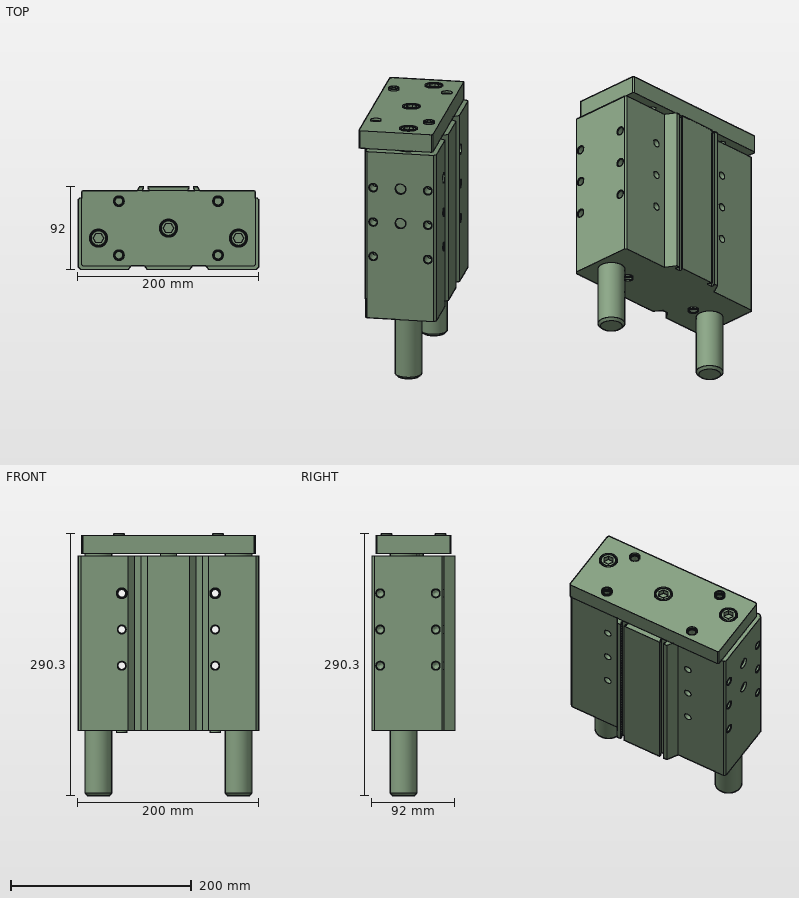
import cadquery as cq
import math


total_height = 290.3

housing_width = 200.0
housing_depth = 92.0
housing_bottom = 72.0
housing_height = 193.5
corner_chamfer = 3.0
shoulder_chamfer = 2.0
shoulder_drop = 12.5
front_groove_x = 34.0
front_groove_width = 21.2
front_groove_floor = 7.3
front_groove_depth = 9.0
rail_top_width = 64.2
rail_flank_angle = 30.0
sensor_slot_x = 25.3
sensor_slot_mouth = 4.5
sensor_slot_floor = 7.0
sensor_slot_depth = 5.8
sensor_slot_lip = 2.5

plate_width = 192.5
plate_depth = 83.3
plate_gap = 2.3
sleeve_protrusion = 2.0
plate_chamfer = 1.5
guide_x = 77.5
guide_y = -11.0
guide_diameter = 30.0
guide_tip_chamfer = 3.0
rod_diameter = 22.0
rod_flats = 18.0
rod_engagement = 58.0
screw_seat_diameter = 20.0
screw_head_diameter = 18.0
screw_head_chamfer = 1.02
screw_head_height = 12.0
screw_socket_flats = 10.2
screw_socket_depth = 5.8

thread_diameter = 8.5
thread_mouth_diameter = 10.0
side_thread_depth = 17.5
drill_point_angle = 118.0
sleeve_diameter = 12.0
sleeve_bore = 10.0
sleeve_seat_depth = 2.5
sleeve_chamfer = 0.3
plate_hole_x = 55.0
plate_hole_y = 30.0
front_hole_x = 51.7
bottom_thread_depth = 17.5
top_row_z = 224.0
row_pitch = 40.0
side_hole_back_y = 24.7
side_hole_front_y = -37.0

port_y = -6.0
port_diameter = 12.0
port_recess = 3.0
plug_thickness = 4.0

rail_foot_width = rail_top_width + 2 * shoulder_drop * math.tan(math.radians(rail_flank_angle))
housing_top = housing_bottom + housing_height
left_face = -housing_width / 2
front_face = -housing_depth / 2
back_face = housing_depth / 2
plate_bottom = housing_top + plate_gap
plate_top = total_height - sleeve_protrusion
plate_thickness = plate_top - plate_bottom
sleeve_length = sleeve_seat_depth + sleeve_protrusion
row_heights = [top_row_z - row * row_pitch for row in range(3)]
port_heights = row_heights[:2]
guide_places = [(-guide_x, guide_y), (guide_x, guide_y)]
screw_places = [*guide_places, (0, 0)]
plate_hole_places = [(sx * plate_hole_x, sy * plate_hole_y) for sx in (-1, 1) for sy in (-1, 1)]
plate_sleeve_places = [(-plate_hole_x, -plate_hole_y), (plate_hole_x, plate_hole_y)]
bottom_sleeve_places = [(-front_hole_x, guide_y), (front_hole_x, guide_y)]


def cylinder(start, direction, diameter, length):
    """A solid cylinder that runs from a start point along a direction."""
    return cq.Workplane(cq.Solid.makeCylinder(diameter / 2, length, cq.Vector(*start), cq.Vector(*direction)))


def cone(start, direction, start_diameter, end_diameter, length):
    """A solid cone that runs from a start point along a direction."""
    return cq.Workplane(
        cq.Solid.makeCone(start_diameter / 2, end_diameter / 2, length, cq.Vector(*start), cq.Vector(*direction))
    )


def mouth_chamfer(start, direction):
    """The 45-degree countersink at the mouth of a threaded hole."""
    depth = (thread_mouth_diameter - thread_diameter) / 2
    return cone(start, direction, thread_mouth_diameter, thread_diameter, depth)


def seated_hole(start, direction, depth):
    """A threaded hole whose mouth is widened into a seat for a centring sleeve."""
    seat_floor = cq.Vector(*start) + cq.Vector(*direction) * sleeve_seat_depth
    return (
        cylinder(start, direction, thread_diameter, depth)
        .union(cylinder(start, direction, sleeve_diameter, sleeve_seat_depth))
        .union(mouth_chamfer(seat_floor.toTuple(), direction))
    )


def housing_block():
    """The extruded profile: chamfered corners, and a rail with sloped flanks on the back."""
    half_width = housing_width / 2
    shoulder_y = back_face - shoulder_drop
    right_half = [
        (half_width - corner_chamfer, front_face),
        (half_width, front_face + corner_chamfer),
        (half_width, shoulder_y - shoulder_chamfer),
        (half_width - shoulder_chamfer, shoulder_y),
        (rail_foot_width / 2, shoulder_y),
        (rail_top_width / 2, back_face),
    ]
    left_half = [(-x, y) for x, y in reversed(right_half)]
    return (
        cq.Workplane("XY", origin=(0, 0, housing_bottom))
        .polyline(right_half + left_half)
        .close()
        .extrude(housing_height)
    )


def front_groove(x):
    """A groove with sloped flanks along the front face."""
    return (
        cq.Workplane("XY", origin=(x, front_face, housing_bottom))
        .polyline([
            (-front_groove_width / 2, 0),
            (front_groove_width / 2, 0),
            (front_groove_floor / 2, front_groove_depth),
            (-front_groove_floor / 2, front_groove_depth),
        ])
        .close()
        .extrude(housing_height)
    )


def sensor_slot(x):
    """A slot in the back rail that widens below its mouth."""
    half_mouth = sensor_slot_mouth / 2
    half_floor = sensor_slot_floor / 2
    return (
        cq.Workplane("XY", origin=(x, back_face, housing_bottom))
        .polyline([
            (-half_mouth, 0),
            (half_mouth, 0),
            (half_mouth, -sensor_slot_lip),
            (half_floor, -sensor_slot_lip),
            (half_floor, -sensor_slot_depth),
            (-half_floor, -sensor_slot_depth),
            (-half_floor, -sensor_slot_lip),
            (-half_mouth, -sensor_slot_lip),
        ])
        .close()
        .extrude(housing_height)
    )


def front_hole(x, z):
    """A threaded hole through the full depth; the top row has a sleeve seat at its mouth."""
    start = (x, front_face, z)
    if z == top_row_z:
        return seated_hole(start, (0, 1, 0), housing_depth)
    hole = cylinder(start, (0, 1, 0), thread_diameter, housing_depth)
    return hole.union(mouth_chamfer(start, (0, 1, 0)))


def side_hole(side, y, z):
    """A blind threaded hole with a drill point, in the left (-1) or right (+1) side."""
    start = (side * housing_width / 2, y, z)
    inward = (-side, 0, 0)
    point_start = (start[0] - side * side_thread_depth, y, z)
    point_length = thread_diameter / 2 / math.tan(math.radians(drill_point_angle / 2))
    return (
        cylinder(start, inward, thread_diameter, side_thread_depth)
        .union(cone(point_start, inward, thread_diameter, 0, point_length))
        .union(mouth_chamfer(start, inward))
    )


def make_housing():
    housing = housing_block()
    for side in (-1, 1):
        housing = housing.cut(front_groove(side * front_groove_x))
        housing = housing.cut(sensor_slot(side * sensor_slot_x))
        for z in row_heights:
            housing = housing.cut(front_hole(side * front_hole_x, z))
            for y in (side_hole_front_y, side_hole_back_y):
                housing = housing.cut(side_hole(side, y, z))
    for x, y in guide_places:
        housing = housing.cut(cylinder((x, y, housing_bottom), (0, 0, 1), guide_diameter, housing_height))
    housing = housing.cut(cylinder((0, 0, housing_top), (0, 0, -1), rod_diameter, rod_engagement))
    for x, y in bottom_sleeve_places:
        housing = housing.cut(seated_hole((x, y, housing_bottom), (0, 0, 1), bottom_thread_depth))
    for z in port_heights:
        port_depth = port_recess + plug_thickness
        housing = housing.cut(cylinder((left_face, port_y, z), (1, 0, 0), port_diameter, port_depth))
    return housing


def make_plug(z):
    """A blanking plug set back from the left side of the housing."""
    return cylinder((left_face + port_recess, port_y, z), (1, 0, 0), port_diameter, plug_thickness)


def yoke_plate():
    plate = (
        cq.Workplane("XY", origin=(0, 0, plate_bottom))
        .rect(plate_width, plate_depth)
        .extrude(plate_thickness)
        .edges("|Z")
        .chamfer(plate_chamfer)
    )
    for x, y in plate_hole_places:
        plate = plate.cut(seated_hole((x, y, plate_top), (0, 0, -1), plate_thickness))
    for x, y in screw_places:
        plate = plate.cut(cylinder((x, y, plate_top), (0, 0, -1), screw_seat_diameter, screw_head_height))
    return plate


def screw_head(x, y):
    """A socket-head screw, flush with the plate top, standing in its wider seat."""
    socket_corners = screw_socket_flats / math.cos(math.pi / 6)
    return (
        cylinder((x, y, plate_top - screw_head_height), (0, 0, 1), screw_head_diameter, screw_head_height)
        .faces(">Z")
        .chamfer(screw_head_chamfer)
        .faces(">Z")
        .workplane(origin=(x, y, plate_top))
        .polygon(6, socket_corners)
        .cutBlind(-screw_socket_depth)
    )


def guide_rod(x, y):
    return (
        cylinder((x, y, 0), (0, 0, 1), guide_diameter, plate_bottom)
        .faces("<Z")
        .chamfer(guide_tip_chamfer)
    )


def piston_rod():
    """A round rod whose neck above the housing has two flats facing +X and -X."""
    rod = cylinder((0, 0, housing_top - rod_engagement), (0, 0, 1), rod_diameter, rod_engagement)
    flats = (
        cq.Workplane("XY", origin=(0, 0, housing_top))
        .rect(rod_flats, rod_diameter)
        .extrude(plate_gap)
    )
    neck = cylinder((0, 0, housing_top), (0, 0, 1), rod_diameter, plate_gap).intersect(flats)
    return rod.union(neck)


def make_moving_unit():
    unit = yoke_plate().union(piston_rod())
    for x, y in guide_places:
        unit = unit.union(guide_rod(x, y))
    for x, y in screw_places:
        unit = unit.union(screw_head(x, y))
    return unit


def make_sleeve(x, y, lower_end):
    return (
        cq.Workplane("XY", origin=(x, y, lower_end))
        .circle(sleeve_diameter / 2)
        .circle(sleeve_bore / 2)
        .extrude(sleeve_length)
        .edges(cq.selectors.RadiusNthSelector(-1))
        .chamfer(sleeve_chamfer)
    )


housing = make_housing()
moving_unit = make_moving_unit()
plugs = [make_plug(z) for z in port_heights]
plate_sleeves = [make_sleeve(x, y, plate_top - sleeve_seat_depth) for x, y in plate_sleeve_places]
bottom_sleeves = [make_sleeve(x, y, housing_bottom - sleeve_protrusion) for x, y in bottom_sleeve_places]

result = cq.Compound.makeCompound([
    housing.val(),
    moving_unit.val(),
    *[body.val() for body in plugs + plate_sleeves + bottom_sleeves],
])